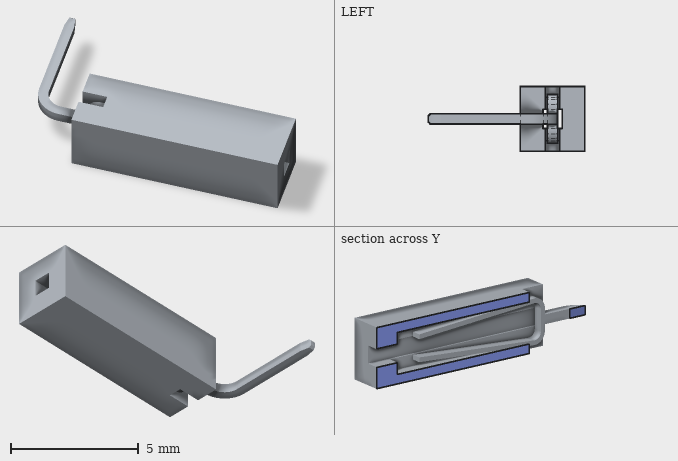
import cadquery as cq
import math

TOTAL_LENGTH = 10.35
TOTAL_DEPTH = 6.14

HOUSING_SIDE = 2.54
HOUSING_LENGTH = 8.4
SLOT_DEPTH = 1.0
SLOT_WIDTH = 0.56
CAVITY_HEIGHT = 1.71
END_WALL = SLOT_DEPTH
BORE_SIDE = 0.75

WIRE = 0.4
PIN_OUTER_RADIUS = 1.09
TIP_WIDTH = 0.21
TAPER_LENGTH = 0.5
TIP_CHAMFER = 0.09
FORK_START = 2.19
FORK_END = 8.28
FORK_FLAT_HALF_HEIGHT = 0.47
ARM_RADIUS = 0.5
ARM_THICKNESS = 0.2
ARM_TILT = math.radians(4)

HOUSING_START = TOTAL_LENGTH - HOUSING_LENGTH
HOUSING_CENTER_X = HOUSING_START + HOUSING_LENGTH / 2
CENTER_Y = HOUSING_SIDE / 2


def make_contact_pin():
    """L-shaped pin lying in the XY plane, with a tapered and chamfered tip."""
    low_y = CENTER_Y - WIRE / 2
    high_y = CENTER_Y + WIRE / 2
    bend_end = PIN_OUTER_RADIUS
    bend_y = low_y + PIN_OUTER_RADIUS
    inner_radius = PIN_OUTER_RADIUS - WIRE
    taper_y = TOTAL_DEPTH - TAPER_LENGTH
    tip_left = (WIRE - TIP_WIDTH) / 2
    diagonal = math.sqrt(0.5)
    outer_mid = (bend_end - PIN_OUTER_RADIUS * diagonal, bend_y - PIN_OUTER_RADIUS * diagonal)
    inner_mid = (bend_end - inner_radius * diagonal, bend_y - inner_radius * diagonal)

    pin = (
        cq.Workplane("XY", origin=(0, 0, -WIRE / 2))
        .moveTo(FORK_START, low_y)
        .lineTo(bend_end, low_y)
        .threePointArc(outer_mid, (0, bend_y))
        .lineTo(0, taper_y)
        .lineTo(tip_left, TOTAL_DEPTH)
        .lineTo(tip_left + TIP_WIDTH, TOTAL_DEPTH)
        .lineTo(WIRE, taper_y)
        .lineTo(WIRE, bend_y)
        .threePointArc(inner_mid, (bend_end, high_y))
        .lineTo(FORK_START, high_y)
        .close()
        .extrude(WIRE)
    )
    tip_edges = pin.faces(">Y").edges("|X")
    return tip_edges.chamfer(TIP_CHAMFER)


def make_fork():
    """Flat base with two arms that curl toward +X and then close in on each other."""
    arc_center_x = FORK_START + ARM_RADIUS
    arc_sweep = math.pi / 2 + ARM_TILT

    def arm_point(radius, angle, side):
        """Point on the curl, at an angle measured from the base plane."""
        x = arc_center_x - radius * math.cos(angle)
        z = FORK_FLAT_HALF_HEIGHT + radius * math.sin(angle)
        return (x, side * z)

    def arm_end(radius, side):
        """Point where the sloping face of an arm reaches the end of the fork."""
        x, z = arm_point(radius, arc_sweep, 1)
        return (FORK_END, side * (z - (FORK_END - x) * math.tan(ARM_TILT)))

    outer = ARM_RADIUS
    inner = ARM_RADIUS - ARM_THICKNESS
    middle = arc_sweep / 2
    return (
        cq.Workplane("XZ", origin=(0, CENTER_Y + WIRE / 2, 0))
        .moveTo(*arm_point(outer, 0, -1))
        .lineTo(*arm_point(outer, 0, 1))
        .threePointArc(arm_point(outer, middle, 1), arm_point(outer, arc_sweep, 1))
        .lineTo(*arm_end(outer, 1))
        .lineTo(*arm_end(inner, 1))
        .lineTo(*arm_point(inner, arc_sweep, 1))
        .threePointArc(arm_point(inner, middle, 1), arm_point(inner, 0, 1))
        .lineTo(*arm_point(inner, 0, -1))
        .threePointArc(arm_point(inner, middle, -1), arm_point(inner, arc_sweep, -1))
        .lineTo(*arm_end(inner, -1))
        .lineTo(*arm_end(outer, -1))
        .lineTo(*arm_point(outer, arc_sweep, -1))
        .threePointArc(arm_point(outer, middle, -1), arm_point(outer, 0, -1))
        .close()
        .extrude(WIRE)
    )


def make_contact():
    return make_contact_pin().union(make_fork())


def make_housing(contact):
    block = cq.Workplane("XY").box(HOUSING_LENGTH, HOUSING_SIDE, HOUSING_SIDE)
    block = block.translate((HOUSING_CENTER_X, CENTER_Y, 0))

    slot = cq.Workplane("XY").box(SLOT_DEPTH, SLOT_WIDTH, HOUSING_SIDE)
    slot = slot.translate((HOUSING_START + SLOT_DEPTH / 2, CENTER_Y, 0))

    cavity_length = HOUSING_LENGTH - END_WALL
    cavity = cq.Workplane("XY").box(cavity_length, SLOT_WIDTH, CAVITY_HEIGHT)
    cavity = cavity.translate((HOUSING_START + cavity_length / 2, CENTER_Y, 0))

    bore = cq.Workplane("XY").box(HOUSING_LENGTH, BORE_SIDE, BORE_SIDE)
    bore = bore.translate((HOUSING_CENTER_X, CENTER_Y, 0))

    return block.cut(slot).cut(cavity).cut(bore).cut(contact)


contact = make_contact()
housing = make_housing(contact)

result = cq.Compound.makeCompound([housing.solids().val(), contact.solids().val()])